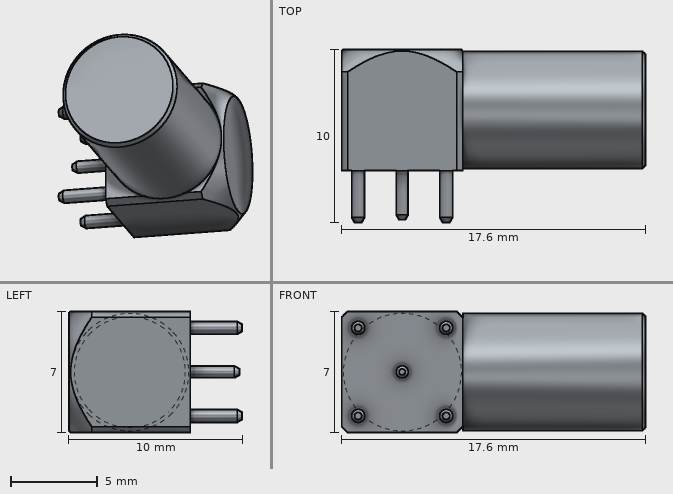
import cadquery as cq
import math


block_side = 7.0
edge_chamfer = 0.35
half_side = block_side / 2

total_length = 17.55
barrel_radius = 3.4
barrel_length = total_length - block_side
barrel_end_chamfer = 0.2

cone_end_radius = barrel_radius
cone_height = block_side
cone_base_radius = cone_end_radius + cone_height

pin_pitch = 5.08
corner_pin_offset = pin_pitch / 2
corner_pin_diameter = 0.76
corner_pin_length = 3.0
center_pin_diameter = 0.7
center_pin_length = 2.85
pin_tip_length = 0.3
pin_tip_half_angle = 30
pin_tip_inset = pin_tip_length * math.tan(math.radians(pin_tip_half_angle))


def make_block():
    """Cube with chamfered Y edges and a conically trimmed +Y end."""
    cube = cq.Workplane("XY").box(block_side, block_side, block_side)
    cube = cube.edges("|Y").chamfer(edge_chamfer)
    cone = cq.Solid.makeCone(
        cone_base_radius,
        cone_end_radius,
        cone_height,
        cq.Vector(0, -half_side, 0),
        cq.Vector(0, 1, 0),
    )
    return cube.intersect(cq.Workplane(cone))


def make_barrel():
    """Plain cylinder on the +X face with a chamfered free end."""
    barrel = cq.Workplane("YZ", origin=(half_side, 0, 0)).circle(barrel_radius).extrude(barrel_length)
    return barrel.faces(">X").chamfer(barrel_end_chamfer)


def make_pin(x, z, diameter, length):
    """Round pin standing on the -Y face, ending in a blunt conical tip."""
    radius = diameter / 2
    pin_end = -half_side - length
    shank_end = pin_end + pin_tip_length
    profile = (
        cq.Workplane("XY", origin=(x, 0, z))
        .moveTo(0, -half_side)
        .lineTo(radius, -half_side)
        .lineTo(radius, shank_end)
        .lineTo(radius - pin_tip_inset, pin_end)
        .lineTo(0, pin_end)
        .close()
    )
    return profile.revolve(360, (0, 0, 0), (0, 1, 0))


result = make_block().union(make_barrel())
result = result.union(make_pin(0, 0, center_pin_diameter, center_pin_length))
for x in (-corner_pin_offset, corner_pin_offset):
    for z in (-corner_pin_offset, corner_pin_offset):
        result = result.union(make_pin(x, z, corner_pin_diameter, corner_pin_length))